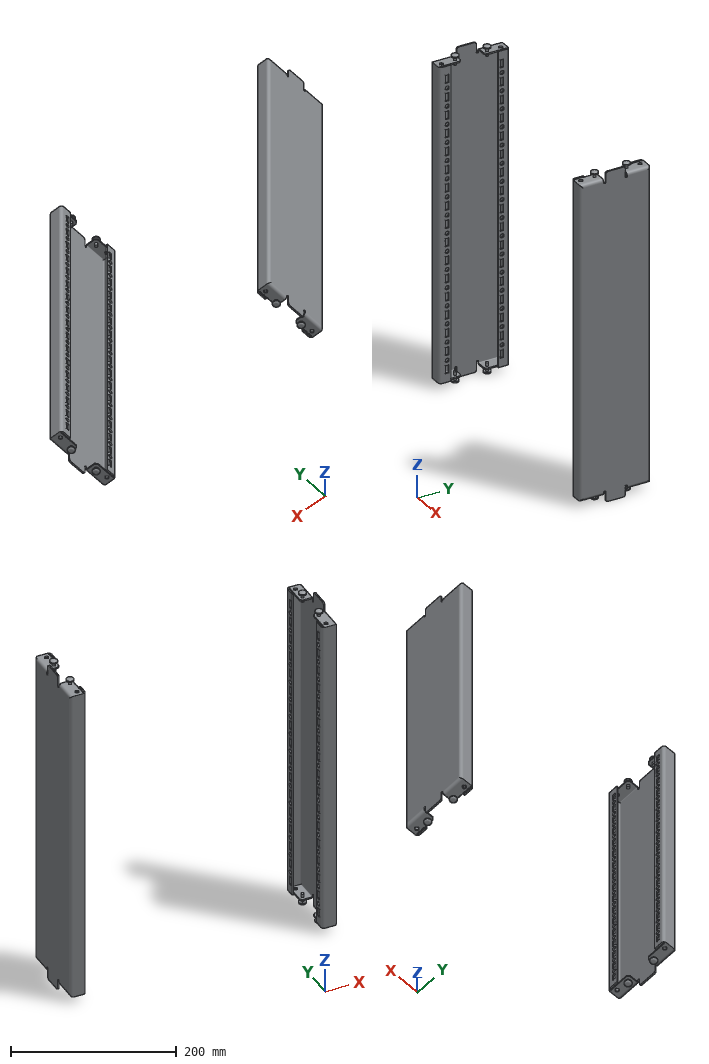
import cadquery as cq

overall_width = 359.0
panel_width = 98.0
overall_height = 455.0

sheet = 2.0
bend_radius = 4.0
inner_bend_radius = 1.0
panel_depth = 21.0
body_height = 435.5
lip_width = 16.0

flange_depth = 17.7
flange_gap = 32.7
flange_chamfer = 2.7
mounting_hole_x = 12.5
mounting_hole_y = 41.5
mounting_hole_diameter = 5.0

tab_width = 27.5
tab_corner_radius = 3.0
notch_root_z = 212.0

hole_pitch = 25.0
slot_count = 17
row_y = 38.0
slot_width = 4.5
slot_height = 11.0
round_hole_diameter = 5.5

stud_x = mounting_hole_x
stud_y = 22.5
shank_diameter = 4.0
shank_inner_z = 211.5
head_diameter = 10.0
head_bottom_z = 223.0
head_rim_height = 1.6
head_top_z = 226.0
head_top_diameter = 3.0
dome_middle_radius = 3.85
dome_middle_z = 225.5

half_height = body_height / 2
head_rim_z = head_bottom_z + head_rim_height
back_x = -overall_width / 2
lip_inner_x = panel_depth - sheet
notch_width = (flange_gap - tab_width) / 2
notch_y = (flange_gap + tab_width) / 4
notch_center_z = notch_root_z + notch_width / 2
BOTH_SIGNS = (-1, 1)


def centred_block(x_low, x_high, width, height):
    """Block between two X positions, centred on Y and Z."""
    block = cq.Workplane("XY").box(x_high - x_low, width, height, centered=(False, True, True))
    return block.translate((x_low, 0, 0))


def rounded_channel(inset, radius, height):
    """Block along Z with rounded long edges, set inside the panel outline by `inset`."""
    block = centred_block(inset, panel_depth - inset, panel_width - 2 * inset, height)
    return block.edges("|Z").fillet(radius)


def rounded_ends(inset, radius):
    """Block with rounded back edges at both ends, set inside the panel outline by `inset`."""
    block = centred_block(inset, panel_depth - inset, panel_width - 2 * inset, body_height - 2 * inset)
    return block.edges("|Y and <X").fillet(radius)


def folded_shell():
    """Back plate, side walls, lips and end flanges, with mitred bends at the corners."""
    outside = rounded_channel(0, bend_radius, body_height).intersect(rounded_ends(0, bend_radius))
    channel_bore = rounded_channel(sheet, inner_bend_radius, overall_height)
    cavity = channel_bore.intersect(rounded_ends(sheet, inner_bend_radius))
    walls = outside.cut(channel_bore)
    closed_ends = outside.cut(cavity)
    flange_zone = centred_block(0, flange_depth, panel_width, body_height)
    shell = walls.union(closed_ends.intersect(flange_zone))
    lip_opening = centred_block(lip_inner_x, panel_depth, panel_width - 2 * lip_width, body_height)
    return shell.cut(lip_opening)


def flange_openings():
    """Gap between the end flanges, with round-bottomed relief notches and chamfered flange corners."""
    gap_height = half_height - notch_center_z
    openings = cq.Workplane("XY")
    for end in BOTH_SIGNS:
        gap = centred_block(0, panel_depth, flange_gap, gap_height)
        openings = openings.add(gap.translate((0, 0, end * (half_height - gap_height / 2))))
    notch_points = [(y * notch_y, z * notch_center_z) for y in BOTH_SIGNS for z in BOTH_SIGNS]
    notch_roots = (
        cq.Workplane("YZ").pushPoints(notch_points).circle(notch_width / 2).extrude(panel_depth)
    )
    openings = openings.add(notch_roots)
    for side in BOTH_SIGNS:
        corner = (
            cq.Workplane("XY")
            .workplane(offset=-half_height)
            .center(flange_depth, side * flange_gap / 2)
            .polyline([(0, 0), (-flange_chamfer, 0), (0, side * flange_chamfer)])
            .close()
            .extrude(body_height)
        )
        openings = openings.add(corner)
    return openings.combine()


def tab_strip():
    """Strip of the back plate that ends in a round-cornered tab at the top and bottom."""
    return centred_block(0, sheet, tab_width, overall_height).edges("|X").fillet(tab_corner_radius)


def flange_holes(y, diameter):
    """Holes through the end flanges of both ends, at +y and -y."""
    return (
        cq.Workplane("XY")
        .workplane(offset=-half_height)
        .pushPoints([(mounting_hole_x, -y), (mounting_hole_x, y)])
        .circle(diameter / 2)
        .extrude(body_height)
    )


def row_points(count):
    """Evenly pitched points on both lips, centred on the panel height."""
    first_z = -hole_pitch * (count - 1) / 2
    return [(side * row_y, first_z + i * hole_pitch) for side in BOTH_SIGNS for i in range(count)]


def lip_holes():
    """Slots along the lips with a round hole midway between neighbouring slots."""
    lip_face = cq.Workplane("YZ").workplane(offset=lip_inner_x)
    slots = lip_face.pushPoints(row_points(slot_count)).rect(slot_width, slot_height).extrude(sheet)
    round_holes = (
        lip_face.pushPoints(row_points(slot_count - 1)).circle(round_hole_diameter / 2).extrude(sheet)
    )
    return slots.add(round_holes).combine()


def make_panel():
    """Left panel, its back plate facing -X."""
    panel = folded_shell().cut(flange_openings()).union(tab_strip())
    panel = panel.cut(flange_holes(mounting_hole_y, mounting_hole_diameter))
    panel = panel.cut(flange_holes(stud_y, shank_diameter))
    panel = panel.cut(lip_holes())
    return panel.translate((back_x, 0, 0))


def make_stud(side, end):
    """Stud of the left panel: a shank through the flange under a low domed head."""
    stud = (
        cq.Workplane("XZ")
        .moveTo(0, shank_inner_z)
        .lineTo(shank_diameter / 2, shank_inner_z)
        .lineTo(shank_diameter / 2, head_bottom_z)
        .lineTo(head_diameter / 2, head_bottom_z)
        .lineTo(head_diameter / 2, head_rim_z)
        .threePointArc((dome_middle_radius, dome_middle_z), (head_top_diameter / 2, head_top_z))
        .lineTo(0, head_top_z)
        .close()
        .revolve(360, (0, 0, 0), (0, 1, 0))
    )
    if end < 0:
        stud = stud.mirror("XY")
    return stud.translate((back_x + stud_x, side * stud_y, 0))


left_panel = make_panel()
right_panel = left_panel.mirror("YZ")
left_studs = [make_stud(side, end) for side in BOTH_SIGNS for end in BOTH_SIGNS]
right_studs = [stud.mirror("YZ") for stud in left_studs]

bodies = [left_panel, right_panel, *left_studs, *right_studs]
result = cq.Compound.makeCompound([body.solids().val() for body in bodies])